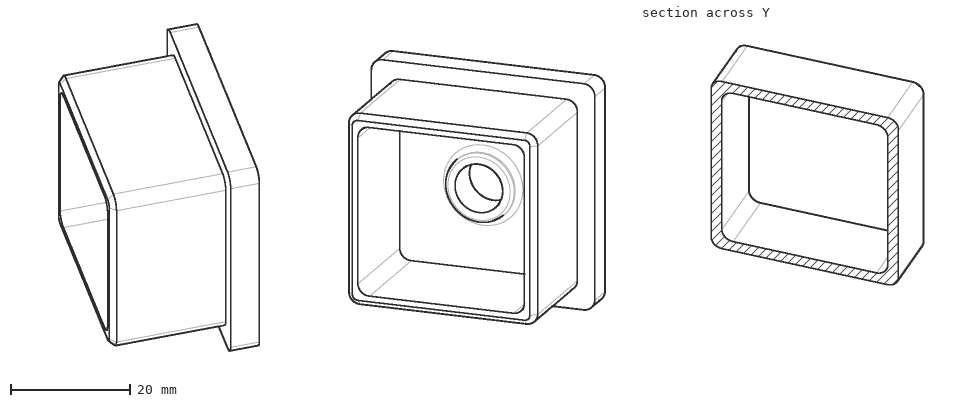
import cadquery as cq

flange_side = 40.0
flange_thickness = 5.0
corner_radius = 2.0

plug_side = 33.8
plug_length = 20.0
plug_chamfer = 1.0
wall_thickness = 2.0

boss_diameter = 12.2
boss_height = 2.0
boss_root_fillet = 1.0
boss_rim_fillet = 0.5
bore_diameter = 8.5


def rounded_square_bar(side, start_y, length):
    """Square bar with rounded long edges, running from start_y towards +Y."""
    return (
        cq.Workplane("XZ", origin=(0, start_y, 0))
        .rect(side, side)
        .extrude(-length)
        .edges("|Y")
        .fillet(corner_radius)
    )


def cylinder(diameter, start_y, length):
    """Round bar on the central axis, running from start_y towards +Y."""
    return cq.Workplane("XZ", origin=(0, start_y, 0)).circle(diameter / 2).extrude(-length)


def hollow_plug():
    """Plug chamfered around its mouth and hollowed through to the flange."""
    plug = rounded_square_bar(plug_side, -plug_length, plug_length)
    plug = plug.faces("<Y").chamfer(plug_chamfer)
    pocket_side = plug_side - 2 * wall_thickness
    return plug.cut(rounded_square_bar(pocket_side, -plug_length, plug_length))


def add_boss(body):
    """Round boss on the flange, blended at its root and rounded at its rim."""
    body = body.union(cylinder(boss_diameter, -boss_height, boss_height))
    reach = boss_diameter / 2 + boss_root_fillet
    around_boss = cq.selectors.BoxSelector(
        (-reach, -2 * boss_height, -reach),
        (reach, flange_thickness / 2, reach),
    )
    body = body.edges("%CIRCLE").edges(around_boss).edges(">Y").fillet(boss_root_fillet)
    return body.edges("%CIRCLE").edges(around_boss).edges("<Y").fillet(boss_rim_fillet)


flange = rounded_square_bar(flange_side, 0, flange_thickness)
cap = add_boss(flange.union(hollow_plug()))
bore = cylinder(bore_diameter, -boss_height, boss_height + flange_thickness)
result = cap.cut(bore)